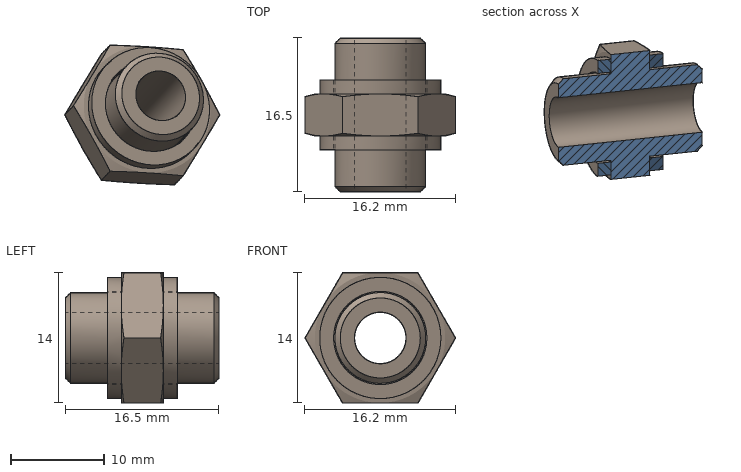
import cadquery as cq
import math

total_length = 16.5
hex_length = 4.5
across_flats = 14.0
corner_chamfer_angle = 15.0
spigot_diameter = 9.74
spigot_chamfer = 0.58
bore_diameter = 5.5
ring_outer_diameter = 13.0
ring_inner_diameter = 10.0
ring_thickness = 1.5

across_corners = across_flats / math.cos(math.radians(30))
half_length = total_length / 2
half_hex = hex_length / 2


def y_cylinder(diameter, start, length):
    """Round bar on the Y axis, running from start toward +Y."""
    return cq.Workplane("XZ", origin=(0, start, 0)).circle(diameter / 2).extrude(-length)


def make_hexagon():
    """Hexagon with corners on X, its ends turned conically down to the across-flats circle."""
    hexagon = (
        cq.Workplane("XZ", origin=(0, -half_hex, 0))
        .polygon(6, across_corners)
        .extrude(-hex_length)
    )
    flat_radius = across_flats / 2
    corner_radius = across_corners / 2
    chamfer_depth = (corner_radius - flat_radius) * math.tan(math.radians(corner_chamfer_angle))
    envelope = (
        cq.Workplane("XY")
        .moveTo(0, -half_hex)
        .lineTo(flat_radius, -half_hex)
        .lineTo(corner_radius, -half_hex + chamfer_depth)
        .lineTo(corner_radius, half_hex - chamfer_depth)
        .lineTo(flat_radius, half_hex)
        .lineTo(0, half_hex)
        .close()
        .revolve(360, (0, 0, 0), (0, 1, 0))
    )
    return hexagon.intersect(envelope)


def make_nipple():
    """Chamfered spigots through the hexagon, bored from end to end."""
    spigots = y_cylinder(spigot_diameter, -half_length, total_length)
    spigots = spigots.faces("<Y or >Y").chamfer(spigot_chamfer)
    bore = y_cylinder(bore_diameter, -half_length, total_length)
    return spigots.union(make_hexagon()).cut(bore)


def make_sealing_ring(start):
    """Flat ring with a small clearance around the spigot."""
    outside = y_cylinder(ring_outer_diameter, start, ring_thickness)
    hole = y_cylinder(ring_inner_diameter, start, ring_thickness)
    return outside.cut(hole)


nipple = make_nipple()

ring_starts = (-half_hex - ring_thickness, half_hex)
sealing_rings = [make_sealing_ring(start) for start in ring_starts]

result = cq.Compound.makeCompound([nipple.val(), *[ring.val() for ring in sealing_rings]])